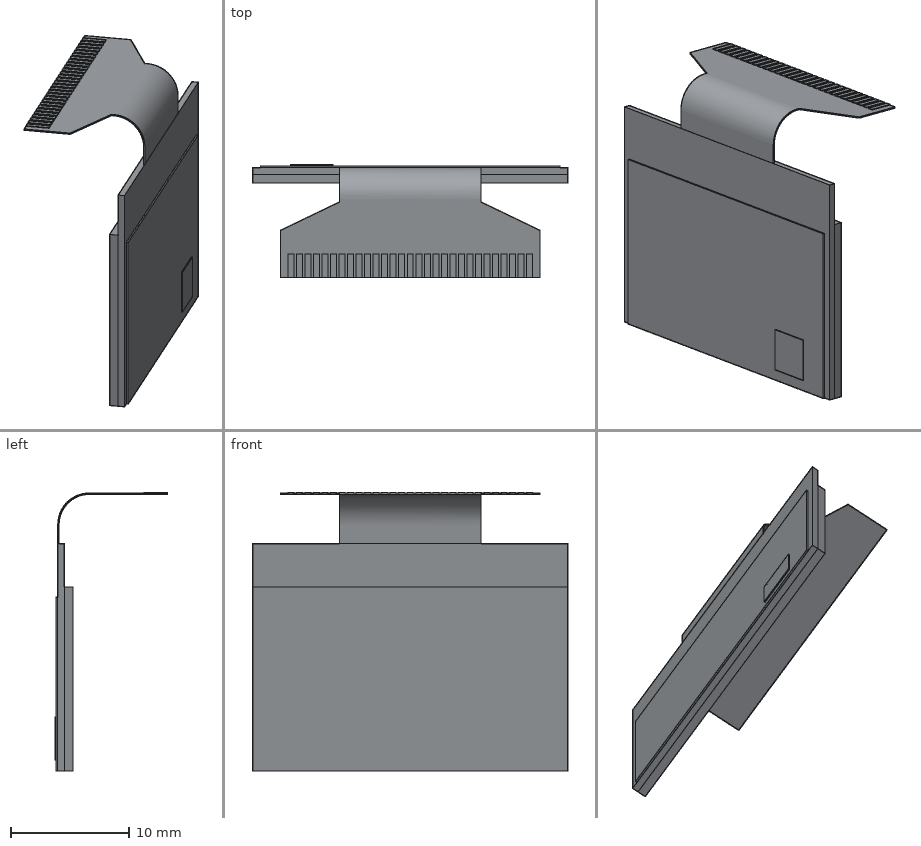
import cadquery as cq

glass_width = 26.7
rear_glass_height = 19.25
rear_glass_thickness = 0.55
front_glass_height = 15.6
front_glass_thickness = 0.75

film_width = 25.36
film_height = 14.75
film_thickness = 0.15
patch_size = 3.6
patch_thickness = 0.1
patch_left_inset = 2.54
patch_base_height = 0.95

overall_depth = 9.55
overall_height = 23.6
cable_thickness = 0.12
bend_outer_radius = 2.67
neck_width = 12.02
tail_width = 22.0
tail_length = 4.0
fan_length = 2.4

finger_count = 29
finger_row_span = 20.2
finger_width = 0.5
finger_length = 2.0
finger_thickness = 0.06

finger_pitch = finger_row_span / (finger_count - 1)
film_front_y = rear_glass_thickness
film_back_y = film_front_y + film_thickness
tail_end_y = film_back_y + patch_thickness - overall_depth
fan_front_y = tail_end_y + tail_length
fan_back_y = fan_front_y + fan_length
cable_top_z = overall_height - finger_thickness
bend_start_z = cable_top_z - bend_outer_radius
bend_end_y = rear_glass_thickness - bend_outer_radius
neck_front_y = rear_glass_thickness - cable_thickness
bend_inner_radius = bend_outer_radius - cable_thickness


def upright_plate(width, thickness, height, front_y):
    """Plate centred on X, standing on Z = 0, with its front face at front_y."""
    plate = cq.Workplane("XY").box(width, thickness, height, centered=(True, False, False))
    return plate.translate((0, front_y, 0))


def make_backing_film():
    film = upright_plate(film_width, film_thickness, film_height, film_front_y)
    patch_center_x = -film_width / 2 + patch_left_inset + patch_size / 2
    patch = upright_plate(patch_size, patch_thickness, patch_size, film_back_y)
    return film.union(patch.translate((patch_center_x, 0, patch_base_height)))


def make_cable_neck():
    """Upright strip and quarter bend, ending where the cable turns level."""
    cable_section = (
        cq.Workplane("YZ")
        .moveTo(rear_glass_thickness, rear_glass_height)
        .lineTo(rear_glass_thickness, bend_start_z)
        .radiusArc((bend_end_y, cable_top_z), -bend_outer_radius)
        .lineTo(bend_end_y, cable_top_z - cable_thickness)
        .radiusArc((neck_front_y, bend_start_z), bend_inner_radius)
        .lineTo(neck_front_y, rear_glass_height)
        .close()
    )
    return cable_section.extrude(neck_width / 2, both=True)


def make_cable_tail():
    """Level part of the cable, widening from the neck to the contact edge."""
    neck_x = neck_width / 2
    tail_x = tail_width / 2
    outline = [
        (-neck_x, bend_end_y),
        (-neck_x, fan_back_y),
        (-tail_x, fan_front_y),
        (-tail_x, tail_end_y),
        (tail_x, tail_end_y),
        (tail_x, fan_front_y),
        (neck_x, fan_back_y),
        (neck_x, bend_end_y),
    ]
    level_plane = cq.Workplane("XY").workplane(offset=cable_top_z - cable_thickness)
    return level_plane.polyline(outline).close().extrude(cable_thickness)


def make_fingers():
    """Row of raised contacts reaching to the front edge of the tail."""
    return (
        cq.Workplane("XY", origin=(0, tail_end_y + finger_length / 2, cable_top_z))
        .rarray(finger_pitch, 0.27, finger_count, 1)
        .rect(finger_width, finger_length)
        .extrude(finger_thickness)
    )


def make_flex_cable():
    return make_cable_neck().union(make_cable_tail()).union(make_fingers())


rear_glass = upright_plate(glass_width, rear_glass_thickness, rear_glass_height, 0)
front_glass = upright_plate(glass_width, front_glass_thickness, front_glass_height, -front_glass_thickness)
backing_film = make_backing_film()
flex_cable = make_flex_cable()

result = cq.Compound.makeCompound([rear_glass.val(), front_glass.val(), backing_film.val(), flex_cable.val()])